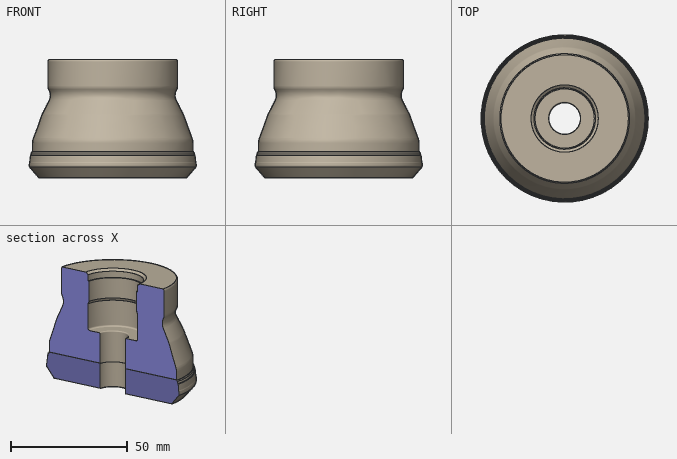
import cadquery as cq
import math

total_height = 50.8
split_height = 11.2

bore_radius = 6.75
bore_edge_round = 0.5
socket_land_radius = 12.7
socket_mouth_radius = 13.2
socket_relief_radius = socket_mouth_radius
socket_rim_radius = 14.4
rim_chamfer_depth = 1.0
mouth_depth = 3.8
land_end_depth = 12.85
relief_taper_height = 1.15
socket_depth = 25.85
floor_round = 0.7

collar_radius = 27.85
collar_edge_round = 1.5
collar_edge_height = 1.15
collar_bottom_height = 38.5
collar_bottom_round = 3.2
neck_radius = 26.2
neck_height = 35.4
neck_round = 4.8
shoulder_radius = 30.45
shoulder_height = 27.0
shoulder_round = 6.45
skirt_radius = 34.45
skirt_height = 15.95
skirt_round = 5.45

lip_radius = 34.6
lip_flank_radius = 34.95
lip_flank_height = 10.7
step_inner_radius = 35.2
step_middle_radius = 35.3
step_outer_radius = 35.4
step_top_height = 9.75
step_middle_height = 9.55
step_bottom_height = 9.25
band_top_radius = 35.5
band_top_height = 8.75
band_bottom_radius = 35.7
band_bottom_height = 6.6
edge_band_radius = 35.8
edge_band_height = 6.2
rim_radius = 35.9
rim_height = 5.25
rim_lower_radius = 35.75
rim_lower_height = 4.6
base_radius = 31.95
base_edge_height = 0.2
base_edge_width = 0.2


def arc_point(center, radius, angle):
    """Point on a circle at the given angle, in degrees from the radial direction."""
    turn = math.radians(angle)
    return (center[0] + radius * math.cos(turn), center[1] + radius * math.sin(turn))


def rounded_corner(before, corner, after, radius):
    """Start, middle and end of the arc of the given radius that rounds a corner."""
    corner = cq.Vector(*corner)
    to_before = (cq.Vector(*before) - corner).normalized()
    to_after = (cq.Vector(*after) - corner).normalized()
    half_angle = to_before.getAngle(to_after) / 2
    tangent_length = radius / math.tan(half_angle)
    bisector = (to_before + to_after).normalized()
    start = corner + to_before * tangent_length
    middle = corner + bisector * (radius / math.sin(half_angle) - radius)
    end = corner + to_after * tangent_length
    return [point.toTuple()[:2] for point in (start, middle, end)]


def make_holder():
    """Turned holder with a rounded neck and a stepped socket, bored through."""
    collar_top = (collar_radius, total_height - collar_edge_height)
    collar_bottom = (collar_radius, collar_bottom_height)
    neck = (neck_radius, neck_height)
    shoulder = (shoulder_radius, shoulder_height)
    skirt = (skirt_radius, skirt_height)
    skirt_bottom = (skirt_radius, split_height)

    rounds = [
        rounded_corner(collar_top, collar_bottom, neck, collar_bottom_round),
        rounded_corner(collar_bottom, neck, shoulder, neck_round),
        rounded_corner(neck, shoulder, skirt, shoulder_round),
        rounded_corner(shoulder, skirt, skirt_bottom, skirt_round),
    ]

    edge_center = (collar_radius - collar_edge_round, collar_top[1])
    edge_angle = math.degrees(math.asin(collar_edge_height / collar_edge_round))

    profile = (
        cq.Workplane("XZ")
        .moveTo(socket_rim_radius, total_height)
        .lineTo(*arc_point(edge_center, collar_edge_round, edge_angle))
        .threePointArc(arc_point(edge_center, collar_edge_round, edge_angle / 2), collar_top)
    )
    for start, middle, end in rounds:
        profile = profile.lineTo(*start).threePointArc(middle, end)

    floor_height = total_height - socket_depth
    mouth_height = total_height - mouth_depth
    land_end_height = total_height - land_end_depth
    bore_edge_center = (bore_radius + bore_edge_round, floor_height - bore_edge_round)
    floor_round_center = (socket_relief_radius - floor_round, floor_height + floor_round)
    profile = (
        profile.lineTo(*skirt_bottom)
        .lineTo(bore_radius, split_height)
        .lineTo(*arc_point(bore_edge_center, bore_edge_round, 180))
        .threePointArc(
            arc_point(bore_edge_center, bore_edge_round, 135),
            arc_point(bore_edge_center, bore_edge_round, 90),
        )
        .lineTo(*arc_point(floor_round_center, floor_round, -90))
        .threePointArc(
            arc_point(floor_round_center, floor_round, -45),
            arc_point(floor_round_center, floor_round, 0),
        )
        .lineTo(socket_relief_radius, land_end_height - relief_taper_height)
        .lineTo(socket_land_radius, land_end_height)
        .lineTo(socket_land_radius, mouth_height)
        .lineTo(socket_mouth_radius, mouth_height)
        .lineTo(socket_mouth_radius, total_height - rim_chamfer_depth)
        .close()
    )
    return profile.revolve(360, (0, 0), (0, 1))


def make_cutter_ring():
    """Ring below the holder: stepped, slightly conical flank and a tapered underside."""
    profile = (
        cq.Workplane("XZ")
        .moveTo(bore_radius, split_height)
        .lineTo(lip_radius, split_height)
        .lineTo(lip_flank_radius, lip_flank_height)
        .lineTo(step_inner_radius, step_top_height)
        .lineTo(step_middle_radius, step_middle_height)
        .lineTo(step_outer_radius, step_bottom_height)
        .lineTo(band_top_radius, band_top_height)
        .lineTo(band_bottom_radius, band_bottom_height)
        .lineTo(edge_band_radius, edge_band_height)
        .lineTo(rim_radius, rim_height)
        .lineTo(rim_lower_radius, rim_lower_height)
        .lineTo(base_radius, base_edge_height)
        .lineTo(base_radius - base_edge_width, 0)
        .lineTo(bore_radius, 0)
        .close()
    )
    return profile.revolve(360, (0, 0), (0, 1))


holder = make_holder()
cutter_ring = make_cutter_ring()

result = cq.Compound.makeCompound([holder.val(), cutter_ring.val()])